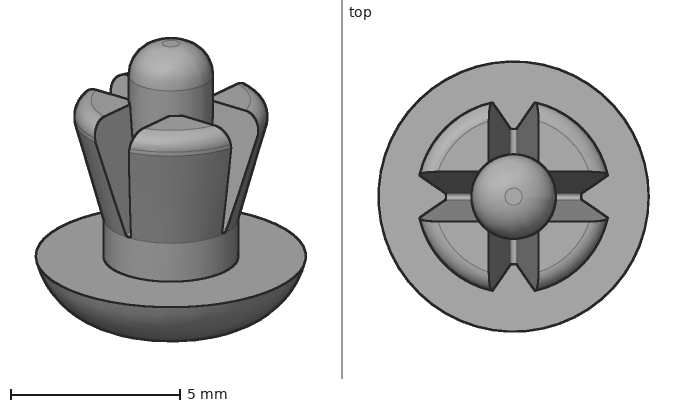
import cadquery as cq
import math

total_height = 8.76
head_top = 1.97
head_rim_base = 0.12
neck_top = 3.2
barb_straight_top = 6.33
barb_round_start = 6.46
barb_top = 6.955

head_diameter = 8.0
head_radius = head_diameter / 2
crown_radius = 2.0
neck_radius = crown_radius
barb_radius = 2.86
pin_radius = 1.25
pin_tip_round = 1.0

slot_top_half_width = 0.74
slot_root_radius = 0.105
slot_root = 3.215

head_side_bulge = 0.4


def make_head():
    """Mushroom head: flat top, curved side and a shallow crown underneath."""
    chord_radial = head_radius - crown_radius
    chord_height = head_top - head_rim_base
    chord = math.hypot(chord_radial, chord_height)
    side_mid = (
        (head_radius + crown_radius) / 2 + head_side_bulge * chord_height / chord,
        (head_top + head_rim_base) / 2 - head_side_bulge * chord_radial / chord,
    )
    sphere_radius = (crown_radius**2 + head_rim_base**2) / (2 * head_rim_base)
    crown_mid_radius = crown_radius / 2
    crown_mid_height = sphere_radius - math.sqrt(sphere_radius**2 - crown_mid_radius**2)
    profile = (
        cq.Workplane("XZ")
        .moveTo(0, head_top)
        .lineTo(head_radius, head_top)
        .threePointArc(side_mid, (crown_radius, head_rim_base))
        .threePointArc((crown_mid_radius, crown_mid_height), (0, 0))
        .close()
    )
    return profile.revolve(360, (0, 0, 0), (0, 1, 0))


def make_barb():
    """Flared barb with a short straight band and a rounded upper edge."""
    edge_round = barb_top - barb_round_start
    profile = (
        cq.Workplane("XZ")
        .moveTo(0, neck_top)
        .lineTo(neck_radius, neck_top)
        .lineTo(barb_radius, barb_straight_top)
        .lineTo(barb_radius, barb_round_start)
        .radiusArc((barb_radius - edge_round, barb_top), -edge_round)
        .lineTo(0, barb_top)
        .close()
    )
    return profile.revolve(360, (0, 0, 0), (0, 1, 0))


def make_slot():
    """V slot along Y whose flanks are tangent to a round root."""
    root_center = slot_root + slot_root_radius
    rise = barb_top - root_center
    reach = math.hypot(slot_top_half_width, rise)
    tangent_angle = math.atan2(rise, slot_top_half_width) - math.acos(slot_root_radius / reach)
    tangent_x = slot_root_radius * math.cos(tangent_angle)
    tangent_z = root_center + slot_root_radius * math.sin(tangent_angle)
    profile = (
        cq.Workplane("XZ")
        .moveTo(-slot_top_half_width, barb_top)
        .lineTo(-tangent_x, tangent_z)
        .threePointArc((0, slot_root), (tangent_x, tangent_z))
        .lineTo(slot_top_half_width, barb_top)
        .close()
    )
    return profile.extrude(2 * barb_radius, both=True)


def make_pin():
    """Central pin with a rounded tip, standing on the neck."""
    pin = cq.Workplane("XY").workplane(offset=neck_top).circle(pin_radius).extrude(total_height - neck_top)
    return pin.faces(">Z").edges().fillet(pin_tip_round)


neck = cq.Workplane("XY").workplane(offset=head_top).circle(neck_radius).extrude(neck_top - head_top)

barb = make_barb()
for slot_angle in (0, 90):
    barb = barb.cut(make_slot().rotate((0, 0, 0), (0, 0, 1), slot_angle))

result = make_head().union(neck).union(barb).union(make_pin())